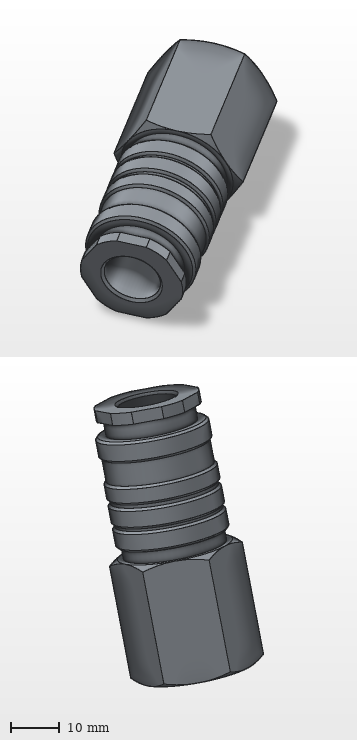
import cadquery as cq
import math

total_length = 58
flange_length = 2.55
sleeve_start = 6.0
sleeve_end = 29.45
hex_start = 32.0

hex_across_flats = 24.0
hex_bevel_angle = 30

band_radius = 11.85
groove_radius = 11.3
edge_bevel = band_radius - groove_radius
front_neck_radius = 9.55
rear_neck_radius = 10.8
bands = [
    (sleeve_start, 10.5),
    (15.4, 19.45),
    (20.1, 24.55),
    (25.05, sleeve_end),
]

flange_radius = 10.95
flange_across_flats = 21.0

plug_bore_radius = 6.05
plug_bore_depth = hex_start
plug_mouth_radius = 6.6
plug_mouth_depth = 0.6
through_radius = 3.5


def cylinder(radius, start, end):
    """Round bar on the Y axis from start to end."""
    return cq.Workplane("XZ", origin=(0, start, 0)).circle(radius).extrude(start - end)


def across_corners(across_flats):
    """Corner-to-corner width of a regular hexagon."""
    return across_flats / math.cos(math.pi / 6)


def hexagon(across_flats, start, end):
    """Hexagonal bar on the Y axis with corners on the X axis."""
    plane = cq.Workplane("XZ", origin=(0, start, 0))
    return plane.polygon(6, across_corners(across_flats)).extrude(start - end)


def revolve_profile(points):
    """Solid of revolution about Y from (radius, y) points."""
    return cq.Workplane("XY").polyline(points).close().revolve(360, (0, 0, 0), (0, 1, 0))


def bevelled_hex_body():
    """Hexagonal bar whose corners are cut by a cone at both ends."""
    end_radius = hex_across_flats / 2
    corner_radius = across_corners(hex_across_flats) / 2
    bevel_length = (corner_radius - end_radius) * math.tan(math.radians(hex_bevel_angle))
    envelope = revolve_profile([
        (0, hex_start),
        (end_radius, hex_start),
        (corner_radius, hex_start + bevel_length),
        (corner_radius, total_length - bevel_length),
        (end_radius, total_length),
        (0, total_length),
    ])
    return hexagon(hex_across_flats, hex_start, total_length).intersect(envelope)


def sleeve():
    """Grooved sleeve made of bevelled bands on a plain core."""
    body = cylinder(groove_radius, sleeve_start, sleeve_end)
    for start, end in bands:
        body = body.union(cylinder(band_radius, start, end).edges().chamfer(edge_bevel))
    return body


def front_flange():
    """Disc trimmed by a hexagon slightly smaller than its diameter."""
    disc = cylinder(flange_radius, 0, flange_length)
    return disc.intersect(hexagon(flange_across_flats, 0, flange_length))


def plug_bore():
    """Blind bore with a conical mouth."""
    return revolve_profile([
        (0, 0),
        (plug_mouth_radius, 0),
        (plug_bore_radius, plug_mouth_depth),
        (plug_bore_radius, plug_bore_depth),
        (0, plug_bore_depth),
    ])


result = (
    front_flange()
    .union(cylinder(front_neck_radius, flange_length, sleeve_start))
    .union(sleeve())
    .union(cylinder(rear_neck_radius, sleeve_end, hex_start))
    .union(bevelled_hex_body())
    .cut(plug_bore())
    .cut(cylinder(through_radius, 0, total_length))
)